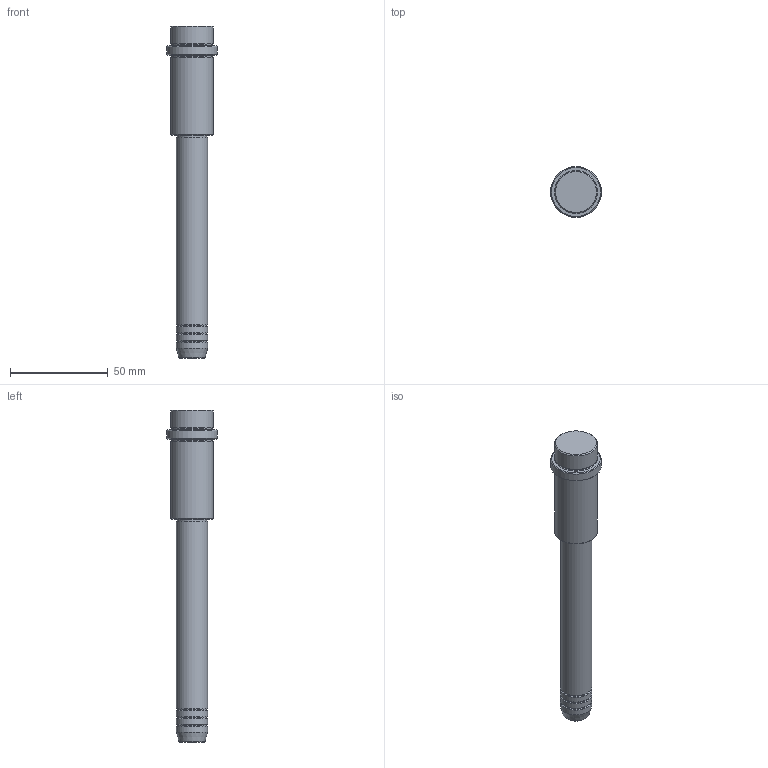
import cadquery as cq
import math

total_length = 170.0
head_height = 10.0
collar_height = 5.0
body_height = 41.0
collar_top = total_length - head_height
collar_bottom = collar_top - collar_height
shank_bottom = collar_bottom - body_height

pin_radius = 8.0
shank_radius = 11.0
collar_radius = 13.0

shank_chamfer = 0.5
collar_chamfer = 0.5

taper_height = 5.0
taper_angle = 15.0
tip_radius = pin_radius - taper_height * math.tan(math.radians(taper_angle))
tip_fillet = 0.5

undercut_width = 1.0
undercut_depth = 0.5

groove_width = 1.0
groove_floor_width = 0.4
groove_depth = 0.5
tip_groove_count = 3
tip_groove_pitch = 4.0
first_tip_groove = 8.5


def cylinder(radius, bottom, top):
    """Solid disc about Z between two heights."""
    return cq.Workplane("XY").workplane(offset=bottom).circle(radius).extrude(top - bottom)


def turned(outline):
    """Solid of revolution about Z from (radius, height) points."""
    return cq.Workplane("XZ").polyline(outline).close().revolve(360, (0, 0, 0), (0, 1, 0))


def tapered_groove(surface_radius, middle):
    """Ring-shaped cutter for a groove with sloping sides, centred at a height on a cylinder."""
    half_width = groove_width / 2
    half_floor = groove_floor_width / 2
    floor_radius = surface_radius - groove_depth
    return turned([
        (surface_radius, middle - half_width),
        (floor_radius, middle - half_floor),
        (floor_radius, middle + half_floor),
        (surface_radius, middle + half_width),
    ])


def make_pin():
    """Long pin with a tapered, rounded tip, tip grooves and an undercut at its upper end."""
    tip = turned([(0, 0), (tip_radius, 0), (pin_radius, taper_height), (0, taper_height)])
    tip = tip.faces("<Z").edges().fillet(tip_fillet)
    undercut_bottom = shank_bottom - undercut_width
    pin = tip.union(cylinder(pin_radius, taper_height, undercut_bottom))
    pin = pin.union(cylinder(pin_radius - undercut_depth, undercut_bottom, shank_bottom))
    for index in range(tip_groove_count):
        pin = pin.cut(tapered_groove(pin_radius, first_tip_groove + index * tip_groove_pitch))
    return pin


def make_shank():
    """Thicker shank with chamfered ends and a tapered groove on each side of the collar."""
    shank = cylinder(shank_radius, shank_bottom, total_length)
    shank = shank.faces("<Z or >Z").edges().chamfer(shank_chamfer)
    for middle in (collar_top + groove_width / 2, collar_bottom - groove_width / 2):
        shank = shank.cut(tapered_groove(shank_radius, middle))
    return shank


def make_collar():
    """Collar with both rims chamfered."""
    collar = cylinder(collar_radius, collar_bottom, collar_top)
    return collar.faces("<Z or >Z").edges().chamfer(collar_chamfer)


result = make_pin().union(make_shank()).union(make_collar())